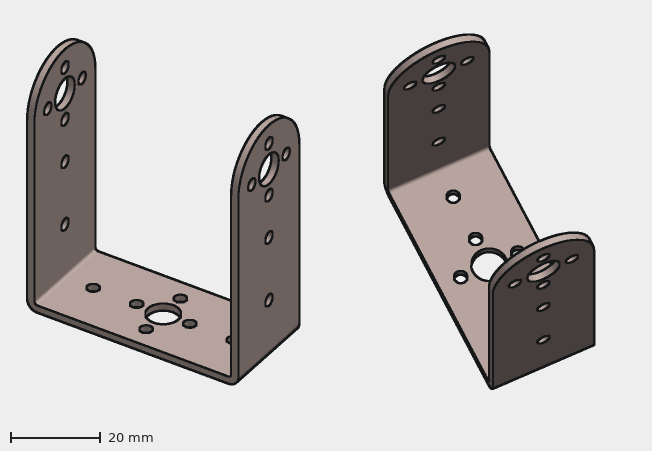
import cadquery as cq

width = 56.0
depth = 25.0
height = 64.0
thickness = 2.0

inner_bend_radius = 0.8
outer_bend_radius = inner_bend_radius + thickness

hub_diameter = 8.0
screw_diameter = 3.0
screw_circle_radius = 7.05

hub_height = height - 12.0
leg_hole_heights = [16.4, 33.4]
base_hole_offset = 18.55


def u_channel():
    """Bent sheet: a base with two upright legs, centred on X and Y."""
    outer = (
        cq.Workplane("XY")
        .box(width, depth, height, centered=(True, True, False))
        .edges("|Y and <Z")
        .fillet(outer_bend_radius)
    )
    inner = (
        cq.Workplane("XY")
        .workplane(offset=thickness)
        .box(width - 2 * thickness, depth, height, centered=(True, True, False))
        .edges("|Y and <Z")
        .fillet(inner_bend_radius)
    )
    return outer.cut(inner)


def leg_outline():
    """Prism along X whose top is a half circle across the full depth."""
    end_radius = depth / 2
    shoulder_height = height - end_radius
    return (
        cq.Workplane("YZ")
        .moveTo(-end_radius, 0)
        .lineTo(end_radius, 0)
        .lineTo(end_radius, shoulder_height)
        .threePointArc((0, height), (-end_radius, shoulder_height))
        .close()
        .extrude(width / 2, both=True)
    )


def hub_pattern(plane, center, reach):
    """Cutter for a hub hole ringed by four screw holes."""
    origin = cq.Workplane(plane).center(*center)
    hub = origin.circle(hub_diameter / 2).extrude(reach, both=True)
    screws = (
        origin.polarArray(screw_circle_radius, 0, 360, 4)
        .circle(screw_diameter / 2)
        .extrude(reach, both=True)
    )
    return hub.union(screws)


def screw_holes(plane, centers, reach):
    """Cutter for single screw holes."""
    return cq.Workplane(plane).pushPoints(centers).circle(screw_diameter / 2).extrude(reach, both=True)


leg_holes = hub_pattern("YZ", (0, hub_height), width).union(
    screw_holes("YZ", [(0, z) for z in leg_hole_heights], width)
)
base_holes = hub_pattern("XY", (0, 0), 2 * thickness).union(
    screw_holes("XY", [(-base_hole_offset, 0), (base_hole_offset, 0)], 2 * thickness)
)

result = u_channel().intersect(leg_outline()).cut(leg_holes).cut(base_holes)